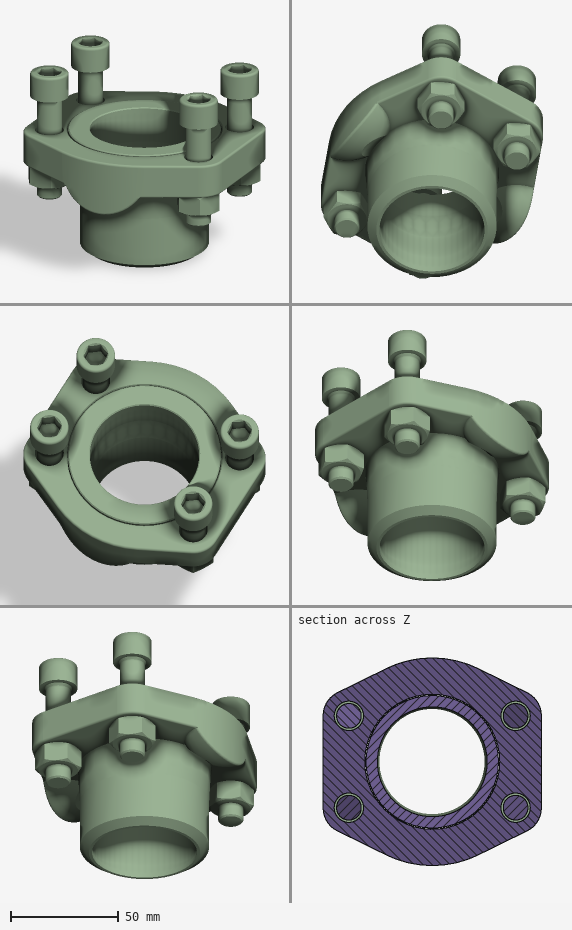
import cadquery as cq
import math

BOLT_X = 38.9
BOLT_Y = 21.4
SHANK_DIAMETER = 11.7
SHANK_LENGTH = 50.0
TIP_DIAMETER = 10.3
HEAD_DIAMETER = 18.0
HEAD_HEIGHT = 12.0
HEAD_EDGE_RADIUS = 1.1
SHOULDER_DIAMETER = 13.0
SHOULDER_STRAIGHT = 0.3
SHOULDER_LENGTH = 1.2
SOCKET_ACROSS_FLATS = 10.0
SOCKET_DEPTH = 8.0
SOCKET_TURN = 37.0
SOCKET_MOUTH_DIAMETER = 11.7
DRILL_POINT_ANGLE = 120.0

NUT_ACROSS_FLATS = 19.0
NUT_HEIGHT = 10.0
NUT_FACE_DIAMETER = 18.4
NUT_BEVEL_ANGLE = 30.0

SPIGOT_HEIGHT = 60.0
NECK_DIAMETER = 60.3
NECK_UPPER_DIAMETER = 62.0
BORE_DIAMETER = 49.1
BORE_UPPER_DIAMETER = 51.0
TAPER_BOTTOM = 26.0
TAPER_TOP = 43.0
COLLAR_DIAMETER = 71.4
COLLAR_HEIGHT = 8.0
COLLAR_CHAMFER = 0.5
WELD_BEVEL_RADIAL = 4.2
WELD_BEVEL_HEIGHT = 2.9

FLANGE_LENGTH = 102.0
FLANGE_WIDTH = 97.0
FLANGE_THICKNESS = 16.0
COLLAR_PROUD = 0.5
EDGE_RADIUS = 1.0
FLANGE_BORE_DIAMETER = 62.7
RECESS_DIAMETER = 72.2
RECESS_CHAMFER = 0.5
BOLT_HOLE_DIAMETER = 13.5
LOBE_RADIUS = 24.0
LOBE_BOTTOM = 33.3
RELIEF_CONE_SUM = 73.2

FLANGE_TOP = SPIGOT_HEIGHT - COLLAR_PROUD
FLANGE_BOTTOM = FLANGE_TOP - FLANGE_THICKNESS
COLLAR_BOTTOM = SPIGOT_HEIGHT - COLLAR_HEIGHT
HEAD_TOP = 88.6
HEAD_BOTTOM = HEAD_TOP - HEAD_HEIGHT
TIP_Z = HEAD_BOTTOM - SHANK_LENGTH

BOLT_POINTS = [(sx * BOLT_X, sy * BOLT_Y) for sx in (-1, 1) for sy in (-1, 1)]


def revolve_profile(points):
    """Turn a closed (radius, height) outline about the Z axis."""
    return cq.Workplane("XZ").polyline(points).close().revolve(360, (0, 0, 0), (0, 1, 0))


def hexagon(across_flats, height, z, turn=0.0):
    """Hexagonal prism on the Z axis, corners on +-X before turning."""
    corner_diameter = across_flats / math.cos(math.pi / 6)
    prism = cq.Workplane("XY").workplane(offset=z).polygon(6, corner_diameter).extrude(height)
    return prism.rotate((0, 0, 0), (0, 0, 1), turn)


def make_spigot():
    """Tapered weld neck whose collar sits in the flange recess."""
    outer = NECK_DIAMETER / 2
    upper = NECK_UPPER_DIAMETER / 2
    collar = COLLAR_DIAMETER / 2
    bore = BORE_DIAMETER / 2
    bore_upper = BORE_UPPER_DIAMETER / 2
    return revolve_profile([
        (bore, 0),
        (outer - WELD_BEVEL_RADIAL, 0),
        (outer, WELD_BEVEL_HEIGHT),
        (outer, TAPER_BOTTOM),
        (upper, TAPER_TOP),
        (upper, COLLAR_BOTTOM),
        (collar, COLLAR_BOTTOM),
        (collar, SPIGOT_HEIGHT - COLLAR_CHAMFER),
        (collar - COLLAR_CHAMFER, SPIGOT_HEIGHT),
        (bore_upper + COLLAR_CHAMFER, SPIGOT_HEIGHT),
        (bore_upper, SPIGOT_HEIGHT - COLLAR_CHAMFER),
        (bore_upper, TAPER_TOP),
        (bore, TAPER_BOTTOM),
    ])


def flange_prism(bottom, top):
    """Prism whose outline wraps one central circle and four corner circles around the bolts."""
    central_radius = FLANGE_WIDTH / 2
    corner_radius = FLANGE_LENGTH / 2 - BOLT_X
    bolt_distance = math.hypot(BOLT_X, BOLT_Y)
    normal = math.atan2(BOLT_Y, BOLT_X) + math.acos((central_radius - corner_radius) / bolt_distance)
    nx, ny = math.cos(normal), math.sin(normal)
    side_x, side_y = central_radius * nx, central_radius * ny
    corner_x, corner_y = BOLT_X + corner_radius * nx, BOLT_Y + corner_radius * ny
    mid_x = BOLT_X + corner_radius * math.cos(normal / 2)
    mid_y = BOLT_Y + corner_radius * math.sin(normal / 2)
    end_x = FLANGE_LENGTH / 2
    return (
        cq.Workplane("XY").workplane(offset=bottom)
        .moveTo(-side_x, side_y)
        .threePointArc((0, central_radius), (side_x, side_y))
        .lineTo(corner_x, corner_y)
        .threePointArc((mid_x, mid_y), (end_x, BOLT_Y))
        .lineTo(end_x, -BOLT_Y)
        .threePointArc((mid_x, -mid_y), (corner_x, -corner_y))
        .lineTo(side_x, -side_y)
        .threePointArc((0, -central_radius), (-side_x, -side_y))
        .lineTo(-corner_x, -corner_y)
        .threePointArc((-mid_x, -mid_y), (-end_x, -BOLT_Y))
        .lineTo(-end_x, BOLT_Y)
        .threePointArc((-mid_x, mid_y), (-corner_x, corner_y))
        .close()
        .extrude(top - bottom)
    )


def lower_half_ball(side):
    """Lower half of the ball that swells out under one long edge; its pole points along Y."""
    ball_y = side * (FLANGE_WIDTH / 2 - EDGE_RADIUS)
    ball_z = LOBE_BOTTOM + LOBE_RADIUS
    ball = cq.Workplane("XZ").sphere(LOBE_RADIUS).translate((0, ball_y, ball_z))
    upper = cq.Workplane("XY").box(*[3 * LOBE_RADIUS] * 3, centered=(True, True, False))
    return ball.cut(upper.translate((0, ball_y, ball_z)))


def make_flange_blank():
    """Plate with a lobe under each long edge, all outer edges rounded."""
    balls = [lower_half_ball(side) for side in (-1, 1)]
    plate = flange_prism(FLANGE_BOTTOM, FLANGE_TOP)
    slab_side = FLANGE_LENGTH * 1.2
    envelope = (
        cq.Workplane("XY").workplane(offset=FLANGE_BOTTOM)
        .rect(slab_side, slab_side).extrude(FLANGE_THICKNESS)
    )
    for ball in balls:
        envelope = envelope.union(ball)
    blank = flange_prism(LOBE_BOTTOM - EDGE_RADIUS, FLANGE_TOP).intersect(envelope)

    blank = blank.edges("%BSPLINE").fillet(EDGE_RADIUS)
    blank = blank.faces(">Z").edges().fillet(EDGE_RADIUS)

    edge_waste = plate.cut(plate.faces("<Z").edges().fillet(EDGE_RADIUS))
    for ball in balls:
        edge_waste = edge_waste.cut(ball)
    return blank.cut(edge_waste)


def make_flange():
    """Flange blank bored and recessed for the spigot and drilled for the bolts."""
    flange = make_flange_blank()
    bore = FLANGE_BORE_DIAMETER / 2
    recess = RECESS_DIAMETER / 2
    low = LOBE_BOTTOM - EDGE_RADIUS
    opening = revolve_profile([
        (0, low),
        (RELIEF_CONE_SUM - low, low),
        (bore, RELIEF_CONE_SUM - bore),
        (bore, COLLAR_BOTTOM),
        (recess, COLLAR_BOTTOM),
        (recess, FLANGE_TOP - RECESS_CHAMFER),
        (recess + RECESS_CHAMFER, FLANGE_TOP),
        (0, FLANGE_TOP),
    ])
    flange = flange.cut(opening)

    bolt_holes = (
        cq.Workplane("XY").workplane(offset=FLANGE_BOTTOM)
        .pushPoints(BOLT_POINTS).circle(BOLT_HOLE_DIAMETER / 2).extrude(FLANGE_THICKNESS)
    )
    return flange.cut(bolt_holes)


def make_bolt(x, y):
    """Socket head cap screw, head up."""
    shank = SHANK_DIAMETER / 2
    tip = TIP_DIAMETER / 2
    shoulder = SHOULDER_DIAMETER / 2
    head = HEAD_DIAMETER / 2
    bolt = revolve_profile([
        (0, TIP_Z),
        (tip, TIP_Z),
        (shank, TIP_Z + shank - tip),
        (shank, HEAD_BOTTOM - SHOULDER_LENGTH),
        (shoulder, HEAD_BOTTOM - SHOULDER_STRAIGHT),
        (shoulder, HEAD_BOTTOM),
        (head, HEAD_BOTTOM),
        (head, HEAD_TOP),
        (0, HEAD_TOP),
    ])
    bolt = bolt.faces(">Z").edges().fillet(HEAD_EDGE_RADIUS)

    floor_z = HEAD_TOP - SOCKET_DEPTH
    drill = SOCKET_ACROSS_FLATS / 2
    point_depth = drill / math.tan(math.radians(DRILL_POINT_ANGLE / 2))
    drill_point = revolve_profile([(0, floor_z - point_depth), (drill, floor_z), (0, floor_z)])
    mouth = SOCKET_MOUTH_DIAMETER / 2
    countersink = revolve_profile([
        (0, HEAD_TOP - (mouth - drill)),
        (drill, HEAD_TOP - (mouth - drill)),
        (mouth, HEAD_TOP),
        (0, HEAD_TOP),
    ])
    socket = hexagon(SOCKET_ACROSS_FLATS, SOCKET_DEPTH, floor_z, turn=SOCKET_TURN)
    bolt = bolt.cut(socket).cut(drill_point).cut(countersink)
    return bolt.translate((x, y, 0))


def make_nut(x, y):
    """Hexagon nut bearing on the underside of the flange, bevelled at both ends."""
    bottom = FLANGE_BOTTOM - NUT_HEIGHT
    face = NUT_FACE_DIAMETER / 2
    widest = NUT_ACROSS_FLATS * 0.6
    bevel = (widest - face) * math.tan(math.radians(NUT_BEVEL_ANGLE))
    envelope = revolve_profile([
        (SHANK_DIAMETER / 2, bottom),
        (face, bottom),
        (widest, bottom + bevel),
        (widest, FLANGE_BOTTOM - bevel),
        (face, FLANGE_BOTTOM),
        (SHANK_DIAMETER / 2, FLANGE_BOTTOM),
    ])
    nut = hexagon(NUT_ACROSS_FLATS, NUT_HEIGHT, bottom).intersect(envelope)
    return nut.translate((x, y, 0))


spigot = make_spigot()
flange = make_flange()
bolts = [make_bolt(x, y).val() for x, y in BOLT_POINTS]
nuts = [make_nut(x, y).val() for x, y in BOLT_POINTS]

result = cq.Compound.makeCompound([spigot.val(), flange.val(), *bolts, *nuts])